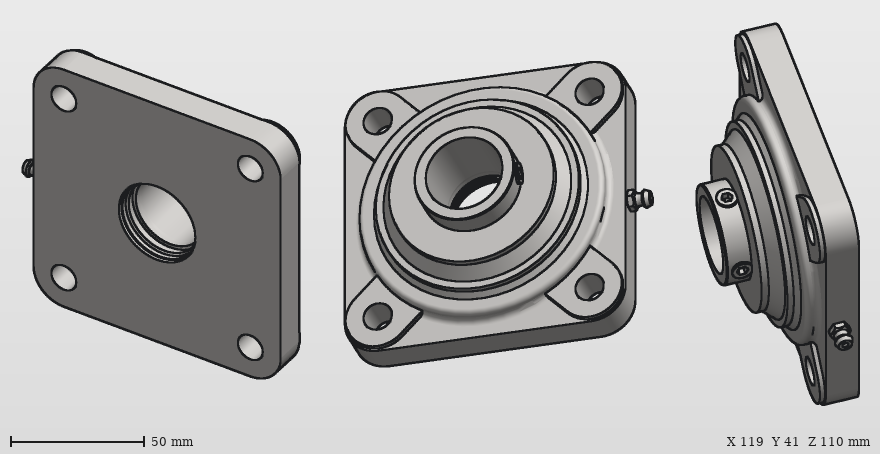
import cadquery as cq
import math

hex_sides = 6

overall_length = 119.0
flange_side = 110.0
flange_thickness = 13.1
bolt_spacing = 83.0
bolt_hole_diameter = 11.1
corner_radius = (flange_side - bolt_spacing) / 2

pad_height = 2.0
pad_inset = 1.0
pad_radius = corner_radius - pad_inset
pad_back = flange_thickness + pad_height

rim_radius = 48.1
rim_back = 18.7
rim_fillet = 2.0
base_fillet = 2.4
lower_cone_radius = 41.9
middle_disc_radius = 39.7
middle_disc_front = 21.0
middle_disc_back = 23.5
upper_cone_radius = 36.8
top_disc_radius = 32.2
top_disc_front = 28.5
hub_back = 31.3

opening_radius = 17.0
opening_depth = 1.8
throat_radius = 16.5
lip_taper_start = 4.0
lip_taper_end = 4.9
lip_radius = 15.7
recess_radius = 16.7

ring_front = 8.9
ring_back = 41.0
ring_radius = 19.5
bore_radius = 15.0
counterbore_radius = 15.1
counterbore_end = 11.4
bore_taper_end = 12.6
collar_chamfer_height = 0.5
collar_chamfer_width = 0.2

screw_radius = 4.0
screw_level = 35.0
screw_projection = 0.6
socket_across_corners = 4.4
socket_depth = 3.0

nipple_level = 8.0
nipple_height = -3.3
nipple_length = overall_length - flange_side
nipple_hex_flats = 7.0
nipple_hex_corner_radius = nipple_hex_flats / 2 / math.cos(math.radians(30))
nipple_hex_shoulder = 2.0
neck_start = 2.9
neck_root_radius = 2.9
neck_radius = 2.4
neck_flare_end = 4.2
head_start = 5.5
head_start_radius = 2.9
head_widest = 6.3
head_radius = 3.5
head_end = 8.3
head_end_radius = 2.6
tip_radius = 1.2
tip_height = nipple_length - head_end
tip_dome_radius = (tip_radius**2 + tip_height**2) / (2 * tip_height)


def revolved_about_y(profile):
    """Solid swept by a closed XY profile about the Y axis."""
    return profile.close().revolve(360, (0, 0, 0), (0, 1, 0))


def plane_at(level):
    """XZ workplane at the given Y level; negative extrusions run toward +Y."""
    return cq.Workplane("XZ", origin=(0, level, 0))


def make_flange():
    return (
        plane_at(0)
        .rect(flange_side, flange_side)
        .extrude(-flange_thickness)
        .edges("|Y")
        .fillet(corner_radius)
    )


def make_pads():
    """Round-ended bars along both diagonals; the hub covers their crossing."""
    bar_length = bolt_spacing * math.sqrt(2) + 2 * pad_radius
    pads = cq.Workplane("XY")
    for angle in (45, 135):
        bar = plane_at(flange_thickness).slot2D(bar_length, 2 * pad_radius, angle).extrude(-pad_height)
        pads = pads.union(bar)
    return pads


def make_hub():
    arc_offset = math.sqrt(0.5)
    base_center_radius = rim_radius + base_fillet
    base_center_level = flange_thickness + base_fillet
    rim_center_radius = rim_radius - rim_fillet
    rim_center_level = rim_back - rim_fillet
    profile = (
        cq.Workplane("XY")
        .lineTo(base_center_radius, 0)
        .lineTo(base_center_radius, flange_thickness)
        .threePointArc(
            (base_center_radius - base_fillet * arc_offset, base_center_level - base_fillet * arc_offset),
            (rim_radius, base_center_level),
        )
        .lineTo(rim_radius, rim_center_level)
        .threePointArc(
            (rim_center_radius + rim_fillet * arc_offset, rim_center_level + rim_fillet * arc_offset),
            (rim_center_radius, rim_back),
        )
        .lineTo(lower_cone_radius, rim_back)
        .lineTo(middle_disc_radius, middle_disc_front)
        .lineTo(middle_disc_radius, middle_disc_back)
        .lineTo(upper_cone_radius, middle_disc_back)
        .lineTo(top_disc_radius, top_disc_front)
        .lineTo(top_disc_radius, hub_back)
        .lineTo(0, hub_back)
    )
    return revolved_about_y(profile)


def make_housing_bore():
    profile = (
        cq.Workplane("XY")
        .lineTo(opening_radius, 0)
        .lineTo(opening_radius, opening_depth)
        .lineTo(throat_radius, opening_depth)
        .lineTo(throat_radius, lip_taper_start)
        .lineTo(lip_radius, lip_taper_end)
        .lineTo(recess_radius, lip_taper_end)
        .lineTo(recess_radius, ring_front)
        .lineTo(ring_radius, ring_front)
        .lineTo(ring_radius, hub_back)
        .lineTo(0, hub_back)
    )
    return revolved_about_y(profile)


def make_bolt_holes():
    return (
        plane_at(0)
        .rect(bolt_spacing, bolt_spacing, forConstruction=True)
        .vertices()
        .circle(bolt_hole_diameter / 2)
        .extrude(-pad_back)
    )


def make_housing():
    solid = make_flange().union(make_pads()).union(make_hub())
    return solid.cut(make_housing_bore()).cut(make_bolt_holes())


def make_ring_blank():
    profile = (
        cq.Workplane("XY")
        .moveTo(counterbore_radius, ring_front)
        .lineTo(ring_radius, ring_front)
        .lineTo(ring_radius, ring_back - collar_chamfer_height)
        .lineTo(ring_radius - collar_chamfer_width, ring_back)
        .lineTo(bore_radius, ring_back)
        .lineTo(bore_radius, bore_taper_end)
        .lineTo(counterbore_radius, counterbore_end)
    )
    return revolved_about_y(profile)


def make_bearing_ring():
    """Ring with set screws toward -X and +Z, their heads trimmed flush with the hub face."""
    screw_tip = ring_radius + screw_projection
    middle_of_wall = (bore_radius + ring_radius) / 2
    screw_length = screw_tip - middle_of_wall
    socket_bottom = screw_tip - socket_depth
    trim_side = 2 * screw_tip
    above_hub = plane_at(hub_back).rect(trim_side, trim_side).extrude(-(ring_back - hub_back))
    ring = make_ring_blank()
    for turn in (0, -90):
        screw = (
            cq.Workplane("XY", origin=(0, screw_level, screw_tip))
            .circle(screw_radius)
            .extrude(-screw_length)
            .intersect(above_hub)
            .rotate((0, 0, 0), (0, 1, 0), turn)
        )
        socket = (
            cq.Workplane("XY", origin=(0, screw_level, socket_bottom))
            .transformed(rotate=(0, 0, 90))
            .polygon(hex_sides, socket_across_corners)
            .extrude(socket_depth)
            .rotate((0, 0, 0), (0, 1, 0), turn)
        )
        ring = ring.union(screw).cut(socket)
    return ring


def make_grease_nipple():
    """Nipple modelled along +Z from its seat, then laid down toward -X on the flange side."""
    profile = (
        cq.Workplane("XZ")
        .moveTo(0, nipple_length)
        .radiusArc((tip_radius, head_end), tip_dome_radius)
        .lineTo(head_end_radius, head_end)
        .lineTo(head_radius, head_widest)
        .lineTo(head_start_radius, head_start)
        .lineTo(neck_radius, head_start)
        .lineTo(neck_radius, neck_flare_end)
        .tangentArcPoint((neck_root_radius, neck_start), relative=False)
        .lineTo(nipple_hex_corner_radius, nipple_hex_shoulder)
        .lineTo(nipple_hex_corner_radius, 0)
        .lineTo(0, 0)
        .close()
    )
    body = profile.revolve(360, (0, 0, 0), (0, 1, 0))
    hex_prism = (
        cq.Workplane("XY")
        .transformed(rotate=(0, 0, 90))
        .polygon(hex_sides, 2 * nipple_hex_corner_radius)
        .extrude(nipple_length)
    )
    return (
        body.intersect(hex_prism)
        .rotate((0, 0, 0), (0, 1, 0), -90)
        .translate((-flange_side / 2, nipple_level, nipple_height))
    )


housing = make_housing()
bearing_ring = make_bearing_ring()
grease_nipple = make_grease_nipple()

result = cq.Compound.makeCompound([housing.val(), bearing_ring.val(), grease_nipple.val()])